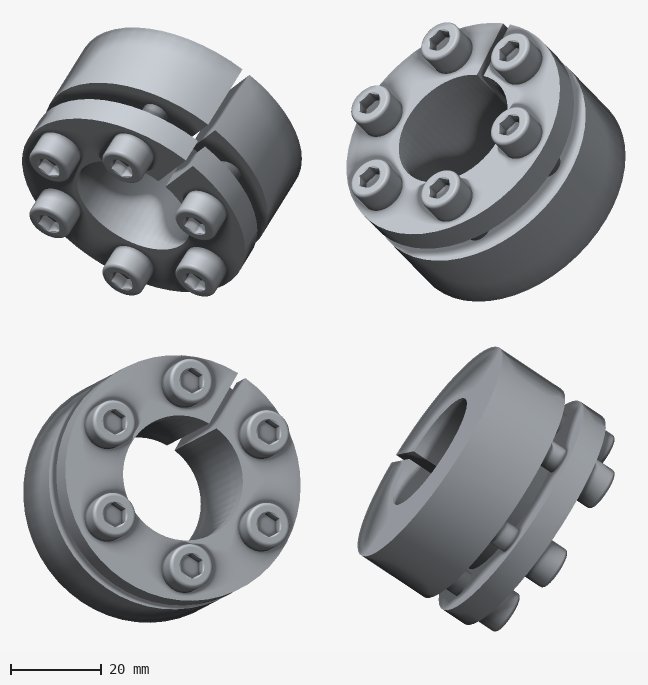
import cadquery as cq
import math

outer_dia = 55.0
bore_dia = 28.0
ring_length = 17.0
gap_length = 5.0
flange_thickness = 6.0
neck_dia_at_flange = 33.5
neck_dia_at_ring = 32.45
slit_width = 2.0
slit_angle = 60.0

screw_count = 6
screw_circle_dia = 41.5
shank_dia = 6.0
head_dia = 10.0
head_height = 6.0
head_fillet = 0.8
socket_flats = 5.0
socket_depth = 3.0
socket_chamfer_angle = 30.0

total_length = head_height + flange_thickness + gap_length + ring_length
head_front_y = -total_length / 2
flange_front_y = head_front_y + head_height
flange_back_y = flange_front_y + flange_thickness
ring_front_y = flange_back_y + gap_length
ring_back_y = ring_front_y + ring_length


def cylinder_along_y(diameter, start_y, end_y, x=0.0, z=0.0):
    """Cylinder parallel to Y, from start_y to end_y."""
    return cq.Workplane(cq.Solid.makeCylinder(
        diameter / 2, end_y - start_y, cq.Vector(x, start_y, z), cq.Vector(0, 1, 0)))


def screw_positions():
    """(x, z) centres of the screws, the first one straight above the axis."""
    radius = screw_circle_dia / 2
    angles = [math.radians(90 + i * 360 / screw_count) for i in range(screw_count)]
    return [(radius * math.cos(a), radius * math.sin(a)) for a in angles]


def make_clamp():
    """Ring and flange joined by a tapered neck, with bore, slit and screw holes."""
    half_section = [
        (bore_dia / 2, flange_front_y),
        (outer_dia / 2, flange_front_y),
        (outer_dia / 2, flange_back_y),
        (neck_dia_at_flange / 2, flange_back_y),
        (neck_dia_at_ring / 2, ring_front_y),
        (outer_dia / 2, ring_front_y),
        (outer_dia / 2, ring_back_y),
        (bore_dia / 2, ring_back_y),
    ]
    clamp = cq.Workplane("XY").polyline(half_section).close().revolve(360, (0, 0, 0), (0, 1, 0))

    slit = (
        cq.Workplane("XY")
        .box(outer_dia, total_length, slit_width, centered=(False, True, True))
        .rotate((0, 0, 0), (0, 1, 0), -slit_angle)
    )
    clamp = clamp.cut(slit)

    for x, z in screw_positions():
        clamp = clamp.cut(cylinder_along_y(shank_dia, flange_front_y, ring_back_y, x, z))
    return clamp


def make_screw(x, z):
    """Cap screw with a rounded head rim and a hexagon socket; its shank ends flush with the ring."""
    head = cylinder_along_y(head_dia, head_front_y, flange_front_y, x, z)
    head = head.faces("<Y").edges().fillet(head_fillet)
    shank = cylinder_along_y(shank_dia, flange_front_y, ring_back_y, x, z)

    corner_radius = socket_flats / 2 / math.cos(math.pi / 6)
    socket = (
        cq.Workplane("XZ", origin=(x, head_front_y, z))
        .transformed(rotate=(0, 0, 90))
        .polygon(6, 2 * corner_radius)
        .extrude(-socket_depth)
    )

    cone_depth = corner_radius * math.tan(math.radians(socket_chamfer_angle))
    mouth = cq.Workplane(cq.Solid.makeCone(
        corner_radius, 0, cone_depth, cq.Vector(x, head_front_y, z), cq.Vector(0, 1, 0)))
    return head.union(shank).cut(socket).cut(mouth)


clamp = make_clamp()
screws = [make_screw(x, z) for x, z in screw_positions()]

result = cq.Compound.makeCompound([clamp.val(), *[screw.val() for screw in screws]])